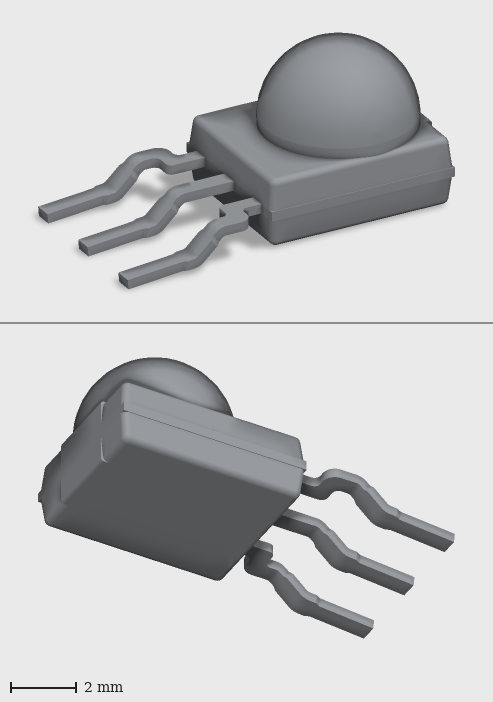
import cadquery as cq
import math


overall_length = 11.42

flange_width = 5.39
flange_length = 6.35
flange_thickness = 0.32
side_lip = 0.02
back_y = 2.56
front_y = back_y - flange_length
flange_center_y = (back_y + front_y) / 2
half_height = 0.97
draft_angle = 6.0
body_fillet = 0.2
body_top = flange_thickness / 2 + half_height

rib_width = 2.49
rib_depth = 1.14
rib_fillet = 0.11

dome_radius = 2.5
dome_base_height = 0.34
dome_cap_height = 2.4
dome_base_z = body_top + dome_base_height

lead_pitch = 2.54
lead_thickness = flange_thickness
lead_width = 0.59
wide_width = 0.74
flat_length = 1.66
lead_reach = overall_length - flange_length
slope_length = 0.91
slope_angle = 43.0
tail_angle = 5.0
bend_inner_radius = 0.2
wide_start = 0.14
wide_end = 0.23
taper_length = 0.15

neck_outer_x = 2.04
neck_inner_x = 1.53
jog_back = 0.72
jog_front = 1.26
jog_fillet = 0.2
jog_outer_fillet = 0.4


def molded_half():
    """Drafted, rounded half of the package, standing on z = 0."""
    return (
        cq.Workplane("XY")
        .rect(flange_width - 2 * side_lip, flange_length)
        .extrude(half_height, taper=draft_angle)
        .edges("not #Z").fillet(body_fillet)
        .faces(">Z").edges().fillet(body_fillet)
        .translate((0, flange_center_y, flange_thickness / 2))
    )


def back_rib():
    """Full-height rib, flush with the back edge of the flange."""
    return (
        cq.Workplane("XY")
        .box(rib_width, rib_depth, 2 * body_top)
        .translate((0, back_y - rib_depth / 2, 0))
        .edges(">Y and |X").fillet(rib_fillet)
    )


def dome():
    """Short cylinder, rooted in the package, with a spherical cap."""
    sphere_radius = (dome_radius**2 + dome_cap_height**2) / (2 * dome_cap_height)
    sphere_z = dome_base_z + dome_cap_height - sphere_radius
    mid_angle = math.pi / 4
    arc_middle = (
        sphere_radius * math.cos(mid_angle),
        sphere_z + sphere_radius * math.sin(mid_angle),
    )
    return (
        cq.Workplane("XZ")
        .lineTo(dome_radius, 0)
        .lineTo(dome_radius, dome_base_z)
        .threePointArc(arc_middle, (0, dome_base_z + dome_cap_height))
        .close()
        .revolve(360, (0, 0, 0), (0, 1, 0))
    )


def make_package():
    flange = (
        cq.Workplane("XY")
        .box(flange_width, flange_length, flange_thickness)
        .translate((0, flange_center_y, 0))
    )
    upper_half = molded_half()
    lower_half = upper_half.mirror("XY")
    return flange.union(upper_half).union(lower_half).union(back_rib()).union(dome())


slope = math.radians(slope_angle)
tail = math.radians(tail_angle)
bend_radius = bend_inner_radius + lead_thickness / 2
slope_start = (
    flat_length + bend_radius * math.sin(slope),
    -bend_radius * (1 - math.cos(slope)),
)
slope_stop = (
    slope_start[0] + slope_length * math.cos(slope),
    slope_start[1] - slope_length * math.sin(slope),
)
tail_start = (
    slope_stop[0] + bend_radius * (math.sin(slope) - math.sin(tail)),
    slope_stop[1] - bend_radius * (math.cos(tail) - math.cos(slope)),
)
tail_run = lead_reach - lead_thickness / 2 * math.sin(tail) - tail_start[0]
tail_length = tail_run / math.cos(tail)


def along_lead(station, angle, upward):
    """Point beside a centre-line station, offset square to the lead."""
    return (
        -(station[0] + upward * math.sin(angle)),
        station[1] + upward * math.cos(angle),
    )


def bent_strip():
    """Full-width strip through both bends, with its back end at the first bend."""
    up = lead_thickness / 2
    tip = (tail_start[0] + tail_run, tail_start[1] - tail_run * math.tan(tail))
    bend_start = (flat_length, 0)
    first_center = (flat_length, -bend_radius)
    second_center = (
        slope_stop[0] + bend_radius * math.sin(slope),
        slope_stop[1] + bend_radius * math.cos(slope),
    )
    first_mid = slope / 2
    second_mid = (slope + tail) / 2
    outer = bend_radius + up
    inner = bend_radius - up
    return (
        cq.Workplane("YZ")
        .moveTo(*along_lead(bend_start, 0, up))
        .threePointArc(along_lead(first_center, first_mid, outer), along_lead(slope_start, slope, up))
        .lineTo(*along_lead(slope_stop, slope, up))
        .threePointArc(along_lead(second_center, second_mid, -inner), along_lead(tail_start, tail, up))
        .lineTo(*along_lead(tip, tail, up))
        .lineTo(*along_lead(tip, tail, -up))
        .lineTo(*along_lead(tail_start, tail, -up))
        .threePointArc(along_lead(second_center, second_mid, -outer), along_lead(slope_stop, slope, -up))
        .lineTo(*along_lead(slope_start, slope, -up))
        .threePointArc(along_lead(first_center, first_mid, inner), along_lead(bend_start, 0, -up))
        .close()
        .extrude(wide_width / 2, both=True)
    )


def side_trims(station, angle, narrow_at, wide_at, trim_end):
    """Pair of cutters that narrow the strip; lengths run along the lead from the station."""
    plane = cq.Plane(
        origin=(0, -station[0], station[1]),
        xDir=(0, -math.cos(angle), -math.sin(angle)),
        normal=(0, -math.sin(angle), math.cos(angle)),
    )
    narrow = lead_width / 2
    wide = wide_width / 2
    trim = (
        cq.Workplane(plane)
        .polyline([(wide_at, wide), (narrow_at, narrow), (trim_end, narrow), (trim_end, wide)])
        .close()
        .extrude(lead_reach, both=True)
    )
    return trim.union(trim.mirror("YZ"))


def formed_end():
    """Bent part of a lead, wide across the second bend and narrow at both ends."""
    slope_trims = side_trims(slope_start, slope, wide_start, wide_start + taper_length, -lead_reach)
    tail_trims = side_trims(tail_start, tail, wide_end + taper_length, wide_end, tail_length + taper_length)
    return bent_strip().cut(slope_trims).cut(tail_trims)


def straight_flat():
    return (
        cq.Workplane("XY")
        .box(lead_width, flat_length, lead_thickness)
        .translate((0, -flat_length / 2, 0))
    )


def jogged_flat():
    """Flat part of the +X outer lead, which steps outward from its neck."""
    outer_x = lead_pitch + lead_width / 2
    inner_x = lead_pitch - lead_width / 2
    plate = (
        cq.Workplane("XY", origin=(0, 0, -lead_thickness / 2))
        .polyline([
            (neck_inner_x, 0),
            (neck_outer_x, 0),
            (neck_outer_x, -jog_back),
            (outer_x, -jog_back),
            (outer_x, -flat_length),
            (inner_x, -flat_length),
            (inner_x, -jog_front),
            (neck_inner_x, -jog_front),
        ])
        .close()
        .extrude(lead_thickness)
    )
    outer_corner = cq.selectors.NearestToPointSelector((outer_x, -jog_back, 0))
    plate = plate.edges(outer_corner).fillet(jog_outer_fillet)
    for corner in [(neck_outer_x, -jog_back), (inner_x, -jog_front), (neck_inner_x, -jog_front)]:
        corner_edge = cq.selectors.NearestToPointSelector((*corner, 0))
        plate = plate.edges(corner_edge).fillet(jog_fillet)
    return plate


def make_middle_lead():
    return straight_flat().union(formed_end()).translate((0, front_y, 0))


def make_outer_lead(side):
    """Jogged lead on the +X side (side = 1) or the -X side (side = -1)."""
    lead = jogged_flat().union(formed_end().translate((lead_pitch, 0, 0)))
    if side < 0:
        lead = lead.mirror("YZ")
    return lead.translate((0, front_y, 0))


package = make_package()
middle_lead = make_middle_lead()
outer_leads = [make_outer_lead(side) for side in (-1, 1)]

result = cq.Compound.makeCompound([
    package.val(),
    middle_lead.val(),
    *[lead.val() for lead in outer_leads],
])